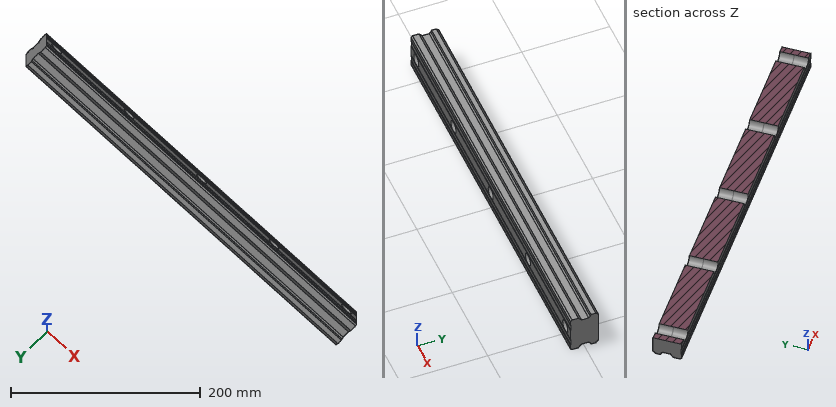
import cadquery as cq

length = 450.0
depth = 32.0
height = 45.0
back_y = depth / 2
front_y = -back_y
half_height = height / 2

back_chamfer = 3.0
front_chamfer = 2.0

groove_depth = 4.0
groove_back_edge = 8.5
groove_step = 9.5
groove_step_depth = 2.2
groove_floor_start = 11.2
groove_floor_end = 19.5
groove_front_edge = 23.0

relief_inner = 7.5
relief_outer = 14.5
relief_wall_run = 1.0
relief_depth = 0.5

hole_diameter = 14.0
hole_count = 5
hole_end_margin = 15.0
hole_pitch = (length - 2 * hole_end_margin) / (hole_count - 1)


def upper_outline():
    """Upper half of the cross-section as (y, z), from the front face to the back face."""
    groove_floor_z = half_height - groove_depth
    return [
        (front_y, relief_inner),
        (front_y + relief_depth, relief_inner),
        (front_y + relief_depth, relief_outer),
        (front_y, relief_outer + relief_wall_run),
        (front_y, half_height - front_chamfer),
        (front_y + front_chamfer, half_height),
        (back_y - groove_front_edge, half_height),
        (back_y - groove_floor_end, groove_floor_z),
        (back_y - groove_floor_start, groove_floor_z),
        (back_y - groove_step, half_height - groove_step_depth),
        (back_y - groove_back_edge, half_height),
        (back_y - back_chamfer, half_height),
        (back_y, half_height - back_chamfer),
    ]


def rail_body():
    """Symmetric cross-section swept along X."""
    upper = upper_outline()
    lower = [(y, -z) for y, z in reversed(upper)]
    profile = cq.Workplane("YZ").polyline(upper + lower).close()
    return profile.extrude(length / 2, both=True)


def mounting_holes():
    """Row of cylinders spaced evenly along the rail's centre line."""
    return (
        cq.Workplane("XZ")
        .rarray(hole_pitch, 4.5, hole_count, 1)
        .circle(hole_diameter / 2)
        .extrude(depth, both=True)
    )


result = rail_body().cut(mounting_holes())